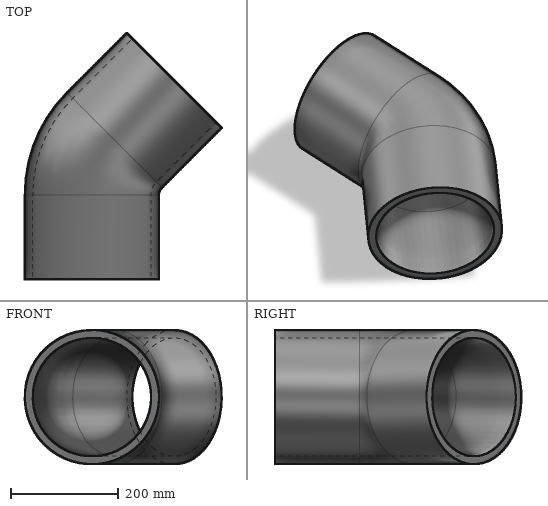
import cadquery as cq
import math

overall_length = 459.0
outer_diameter = 250.0
inner_diameter = 220.2
bend_radius = 144.0
bend_angle = 45.0

outer_radius = outer_diameter / 2
sin_bend = math.sin(math.radians(bend_angle))
cos_bend = math.cos(math.radians(bend_angle))
leg_length = (overall_length - (bend_radius + outer_radius) * sin_bend) / (1 + cos_bend)


def straight_leg(start, direction):
    """Tube of one leg, running from a point along a direction."""
    plane = cq.Plane(origin=start, xDir=(0, 0, 1), normal=direction)
    ring = cq.Workplane(plane).circle(outer_diameter / 2).circle(inner_diameter / 2)
    return ring.extrude(leg_length)


def bend():
    """Tube revolved about a Z-parallel axis, turning from +Y toward +X."""
    ring = (
        cq.Workplane("XZ", origin=(0, leg_length, 0))
        .circle(outer_diameter / 2)
        .circle(inner_diameter / 2)
    )
    return ring.revolve(bend_angle, (bend_radius, 4.5, 0), (bend_radius, 0, 0))


bend_end = (
    bend_radius * (1 - cos_bend),
    leg_length + bend_radius * sin_bend,
    0,
)

lower_leg = straight_leg((0, 0, 0), (0, 1, 0))
upper_leg = straight_leg(bend_end, (sin_bend, cos_bend, 0))

result = lower_leg.union(bend()).union(upper_leg)